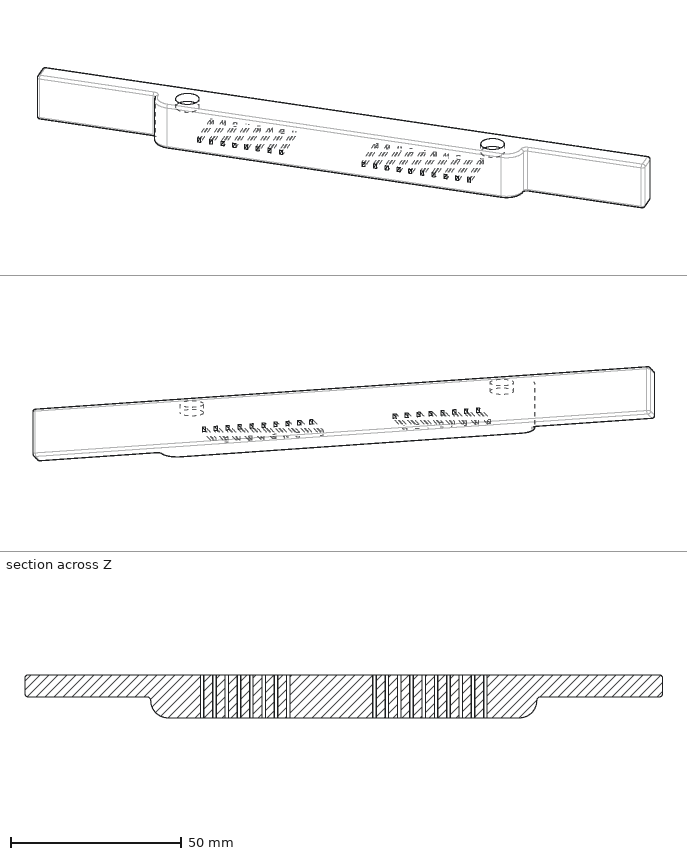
import cadquery as cq

length = 187.3
depth = 12.7
height = 14.5
back_y = depth / 2
front_y = -depth / 2

arm_depth = 6.5
arm_front_y = back_y - arm_depth
body_length = 113.5
inner_radius = 1.0
outer_radius = depth - arm_depth - inner_radius

corner_radius = 1.0
rim_radius = 0.85

pocket_diameter = 7.0
pocket_depth = 2.6
pocket_spacing = 94.0
pocket_back_distance = 7.0
pocket_y = back_y - pocket_back_distance

pin_width = 1.0
pin_height = 1.3
pin_z = 4.5
pin_grid_span = 83.2
pin_grid_places = 24
left_row_count = 8
right_row_count = 10
pin_pitch = pin_grid_span / (pin_grid_places - 1)


def make_bar():
    """Extrude the stepped plan outline and round its outer edges."""
    half_length = length / 2
    half_body = body_length / 2
    round_start_y = arm_front_y - inner_radius
    flat_half = half_body - outer_radius
    inner_end = half_body + inner_radius
    outline = (
        cq.Workplane("XY")
        .moveTo(-half_length, back_y)
        .lineTo(-half_length, arm_front_y)
        .lineTo(-inner_end, arm_front_y)
        .radiusArc((-half_body, round_start_y), inner_radius)
        .radiusArc((-flat_half, front_y), -outer_radius)
        .lineTo(flat_half, front_y)
        .radiusArc((half_body, round_start_y), -outer_radius)
        .radiusArc((inner_end, arm_front_y), inner_radius)
        .lineTo(half_length, arm_front_y)
        .lineTo(half_length, back_y)
        .close()
    )
    bar = outline.extrude(height)
    end_corners = bar.faces("<X or >X").edges("|Z")
    bar = bar.newObject(end_corners.vals()).fillet(corner_radius)
    return bar.faces("<Z or >Z").edges().fillet(rim_radius)


def make_pockets():
    """Return the two round pocket cutters, sunk from the top face."""
    half_spacing = pocket_spacing / 2
    return (
        cq.Workplane("XY", origin=(0, pocket_y, height))
        .pushPoints([(-half_spacing, 0), (half_spacing, 0)])
        .circle(pocket_diameter / 2)
        .extrude(-pocket_depth)
    )


def make_pins():
    """Return the cutters for both rows of small holes, through the full body depth."""
    left_places = range(left_row_count)
    right_places = range(pin_grid_places - right_row_count, pin_grid_places)
    centers = [
        (place * pin_pitch - pin_grid_span / 2, pin_z)
        for place in (*left_places, *right_places)
    ]
    return (
        cq.Workplane("XZ", origin=(0, back_y, 0))
        .pushPoints(centers)
        .rect(pin_width, pin_height)
        .extrude(depth)
    )


result = make_bar().cut(make_pockets()).cut(make_pins())